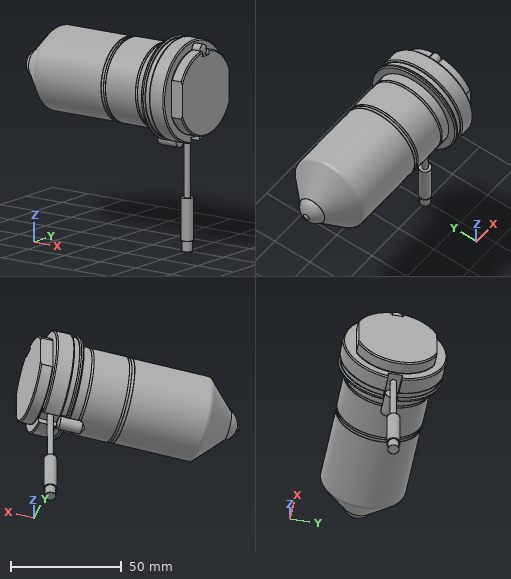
import cadquery as cq
import math

OVERALL_LENGTH = 100.0

TIP_FRONT_RADIUS = 0.9
TIP_BASE_RADIUS = 1.6
DOME_RADIUS = 7.5
DOME_RIM_RADIUS = 7.0
DOME_RIM_X = 5.7

BARREL_RADIUS = 19.8
SHOULDER_FILLET = 2.0
GRIP_START_X = 55.8
GRIP_RADIUS = 20.0
GRIP_GROOVE_STARTS = (57.2, 75.1)
GRIP_GROOVE_WIDTH = 1.1
SHALLOW_GROOVE_DEPTH = 0.1

FLANGE_RADIUS = 24.0
FLANGE_START_X = 81.0
DISC_WIDTH = 2.0
FLANGE_GROOVE_WIDTH = 2.5
FLANGE_GROOVE_RADIUS = 23.0
EDGE_CHAMFER = 0.6
CABLE_SLOT_WIDTH = 6.4
CABLE_SLOT_ROOF_Z = -21.0

HUB_LENGTH = 6.0
HUB_RADIUS = 20.0
HUB_ACROSS_FLATS = 36.0
HUB_RELIEF_WIDTH = 0.3

KEY_PIN_DIAMETER = 5.0
KEY_PIN_SHANK = 4.5

LOCATING_PIN_DIAMETER = 6.0
LOCATING_PIN_Z = -24.5
LOCATING_PIN_TIP_X = 73.2
LOCATING_CONE_LENGTH = 1.8
LOCATING_CONE_RADIUS = 2.8
LOCATING_TAPER_LENGTH = 1.2

CABLE_FROM_HUB_END = 10.5
CABLE_DIAMETER = 3.0
SLEEVE_DIAMETER = 6.0
PLUG_DIAMETER = 5.0
SLEEVE_TOP_Z = -50.0
SLEEVE_LENGTH = 20.0
PLUG_LENGTH = 5.0

flange_end_x = OVERALL_LENGTH - HUB_LENGTH
disc_end_x = FLANGE_START_X + DISC_WIDTH
ring_start_x = disc_end_x + FLANGE_GROOVE_WIDTH
cable_x = OVERALL_LENGTH - CABLE_FROM_HUB_END
key_pin_z = HUB_RADIUS
keyway_floor_z = key_pin_z - KEY_PIN_DIAMETER / 2


def revolve_about_x(profile):
    """Revolve a closed XZ profile around the X axis."""
    return profile.close().revolve(360, (0, 0, 0), (1, 0, 0))


def cylinder_along_x(start_x, length, radius):
    return cq.Workplane("YZ", origin=(start_x, 0, 0)).circle(radius).extrude(length)


def shallow_groove(start_x, width, outer_radius):
    """Ring to be cut from a cylinder of the given outer radius."""
    core = cylinder_along_x(start_x, width, outer_radius - SHALLOW_GROOVE_DEPTH)
    return cylinder_along_x(start_x, width, outer_radius).cut(core)


def make_barrel():
    cone_end_x = DOME_RIM_X + BARREL_RADIUS - DOME_RIM_RADIUS
    barrel = revolve_about_x(
        cq.Workplane("XZ")
        .moveTo(DOME_RIM_X, 0)
        .lineTo(DOME_RIM_X, DOME_RIM_RADIUS)
        .lineTo(cone_end_x, BARREL_RADIUS)
        .lineTo(GRIP_START_X, BARREL_RADIUS)
        .lineTo(GRIP_START_X, 0)
    )
    shoulder = cq.selectors.BoxSelector(
        (cone_end_x - SHOULDER_FILLET, -FLANGE_RADIUS, -FLANGE_RADIUS),
        (cone_end_x + SHOULDER_FILLET, FLANGE_RADIUS, FLANGE_RADIUS),
        boundingbox=True,
    )
    return barrel.edges(shoulder).fillet(SHOULDER_FILLET)


def make_grip():
    grip = cylinder_along_x(GRIP_START_X, FLANGE_START_X - GRIP_START_X, GRIP_RADIUS)
    for start_x in GRIP_GROOVE_STARTS:
        grip = grip.cut(shallow_groove(start_x, GRIP_GROOVE_WIDTH, GRIP_RADIUS))
    return grip


def make_flange():
    disc = cylinder_along_x(FLANGE_START_X, DISC_WIDTH, FLANGE_RADIUS).edges().chamfer(EDGE_CHAMFER)
    neck = cylinder_along_x(disc_end_x, FLANGE_GROOVE_WIDTH, FLANGE_GROOVE_RADIUS)
    ring = cylinder_along_x(ring_start_x, flange_end_x - ring_start_x, FLANGE_RADIUS)
    flange = disc.union(neck).union(ring.edges().chamfer(EDGE_CHAMFER))
    slot_depth = FLANGE_RADIUS + CABLE_SLOT_ROOF_Z
    cable_slot = cq.Workplane("XY").box(
        flange_end_x - FLANGE_START_X, CABLE_SLOT_WIDTH, slot_depth, centered=(False, True, False)
    )
    return flange.cut(cable_slot.translate((FLANGE_START_X, 0, -FLANGE_RADIUS)))


def make_hub():
    hub = cylinder_along_x(flange_end_x, HUB_LENGTH, HUB_RADIUS).faces(">X").chamfer(EDGE_CHAMFER)
    hub = hub.cut(shallow_groove(flange_end_x, HUB_RELIEF_WIDTH, HUB_RADIUS))
    flats = cq.Workplane("XY").box(
        HUB_LENGTH, HUB_ACROSS_FLATS, 2 * HUB_RADIUS, centered=(False, True, True)
    )
    keyway = cq.Workplane("XY").box(
        HUB_LENGTH, KEY_PIN_DIAMETER, HUB_RADIUS - keyway_floor_z, centered=(False, True, False)
    )
    hub = hub.intersect(flats.translate((flange_end_x, 0, 0)))
    return hub.cut(keyway.translate((flange_end_x, 0, keyway_floor_z)))


def make_housing():
    return make_barrel().union(make_grip()).union(make_flange()).union(make_hub())


def make_nose():
    """Spherical dome seated on the cone, with a small tapered nozzle tip."""
    center_x = DOME_RIM_X + math.sqrt(DOME_RADIUS**2 - DOME_RIM_RADIUS**2)
    tip_base_x = center_x - math.sqrt(DOME_RADIUS**2 - TIP_BASE_RADIUS**2)
    start_angle = math.asin(TIP_BASE_RADIUS / DOME_RADIUS)
    rim_angle = math.asin(DOME_RIM_RADIUS / DOME_RADIUS)
    mid_angle = (start_angle + rim_angle) / 2
    arc_middle = (
        center_x - DOME_RADIUS * math.cos(mid_angle),
        DOME_RADIUS * math.sin(mid_angle),
    )
    return revolve_about_x(
        cq.Workplane("XZ")
        .moveTo(0, 0)
        .lineTo(0, TIP_FRONT_RADIUS)
        .lineTo(tip_base_x, TIP_BASE_RADIUS)
        .threePointArc(arc_middle, (DOME_RIM_X, DOME_RIM_RADIUS))
        .lineTo(DOME_RIM_X, 0)
    )


def add_rounded_end(profile, shank_end_x, diameter):
    """Close a pin profile at +X with an arc of radius equal to the pin diameter."""
    radius = diameter / 2
    center_x = shank_end_x - math.sqrt(diameter**2 - radius**2)
    half_angle = math.asin(radius / diameter) / 2
    arc_middle = (
        center_x + diameter * math.cos(half_angle),
        diameter * math.sin(half_angle),
    )
    return profile.lineTo(shank_end_x, radius).threePointArc(arc_middle, (center_x + diameter, 0))


def make_key_pin():
    profile = cq.Workplane("XZ").moveTo(flange_end_x, 0).lineTo(flange_end_x, KEY_PIN_DIAMETER / 2)
    profile = add_rounded_end(profile, flange_end_x + KEY_PIN_SHANK, KEY_PIN_DIAMETER)
    return revolve_about_x(profile).translate((0, 0, key_pin_z))


def make_locating_pin():
    cone_end_x = LOCATING_PIN_TIP_X + LOCATING_CONE_LENGTH
    profile = (
        cq.Workplane("XZ")
        .moveTo(LOCATING_PIN_TIP_X, 0)
        .lineTo(cone_end_x, LOCATING_CONE_RADIUS)
        .lineTo(cone_end_x + LOCATING_TAPER_LENGTH, LOCATING_PIN_DIAMETER / 2)
    )
    profile = add_rounded_end(profile, ring_start_x, LOCATING_PIN_DIAMETER)
    return revolve_about_x(profile).translate((0, 0, LOCATING_PIN_Z))


def make_cable():
    """Cable hanging from the roof of the flange slot, with a sleeve and plug at its lower end."""
    sections = (
        (CABLE_DIAMETER, CABLE_SLOT_ROOF_Z - SLEEVE_TOP_Z),
        (SLEEVE_DIAMETER, SLEEVE_LENGTH),
        (PLUG_DIAMETER, PLUG_LENGTH),
    )
    cable = cq.Workplane("XY")
    top_z = CABLE_SLOT_ROOF_Z
    for diameter, length in sections:
        section = cq.Workplane("XY", origin=(cable_x, 0, top_z)).circle(diameter / 2).extrude(-length)
        cable = cable.union(section)
        top_z -= length
    return cable


housing = make_housing()
nose = make_nose()
key_pin = make_key_pin()
locating_pin = make_locating_pin()
cable = make_cable()

result = cq.Compound.makeCompound(
    [housing.val(), nose.val(), key_pin.val(), locating_pin.val(), cable.val()]
)